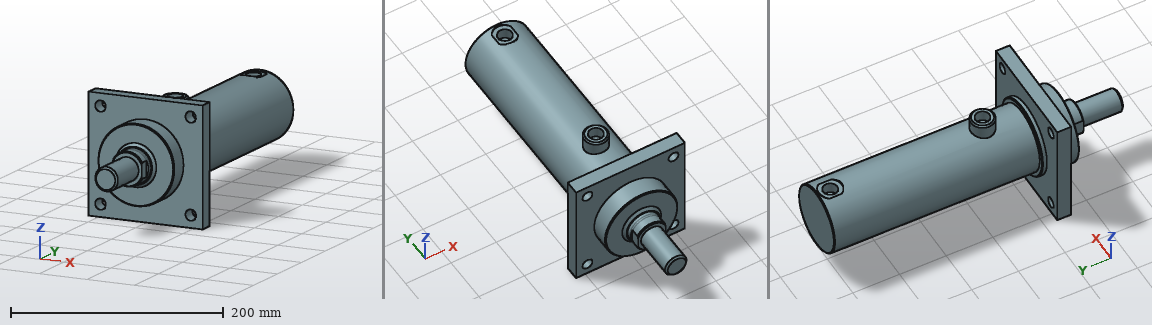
import cadquery as cq

TOTAL_LENGTH = 323.0

BARREL_DIAMETER = 70.0
BARREL_CHAMFER = 1.0
HEAD_DIAMETER = 80.0
HEAD_FRONT = 63.0
HEAD_BACK = 103.0
HEAD_CHAMFER = 1.0
FLANGE_SIDE = 120.0
FLANGE_FRONT = 83.0
FLANGE_THICKNESS = 15.0
BOLT_SPACING = 95.0
BOLT_HOLE_DIAMETER = 11.0

COLLAR_FRONT = 60.0
COLLAR_BASE_DIAMETER = 43.0
COLLAR_TIP_DIAMETER = 37.0

PORT_HOLE_DIAMETER = 15.0
PORT_DEPTH = 12.0
PORT_CONE_HEIGHT = 4.5
ROD_PORT_Y = 145.0
BOSS_DIAMETER = 25.0
BOSS_TOP = 49.0
BOSS_CHAMFER = 1.5
CAP_PORT_INSET = 15.0
CAP_PORT_Y = TOTAL_LENGTH - CAP_PORT_INSET
SPOTFACE_DIAMETER = 25.0
SPOTFACE_DEPTH = 1.5

ROD_DIAMETER = 35.0
ROD_SHOULDER = 45.0
TAPER_START = 55.0
TAPER_END = 57.0
NECK_DIAMETER = 34.2
NECK_CHAMFER = 1.0
WRENCH_WIDTH = 30.5
STUD_DIAMETER = 24.0
STUD_CHAMFER = 2.0


def cylinder_y(diameter, start, end):
    """Round bar along Y between two Y positions."""
    return cq.Workplane("XZ", origin=(0, start, 0)).circle(diameter / 2).extrude(start - end)


def frustum_y(start_diameter, start, end_diameter, end):
    """Cone frustum along Y between two Y positions."""
    return (
        cq.Workplane("XZ", origin=(0, start, 0))
        .circle(start_diameter / 2)
        .workplane(offset=start - end)
        .circle(end_diameter / 2)
        .loft()
    )


def port_hole(y, mouth_z):
    """Blind drilled hole going down from mouth_z, with a conical bottom."""
    radius = PORT_HOLE_DIAMETER / 2
    floor_z = mouth_z - PORT_DEPTH
    return (
        cq.Workplane("XZ", origin=(0, y, 0))
        .moveTo(0, mouth_z)
        .lineTo(radius, mouth_z)
        .lineTo(radius, floor_z)
        .lineTo(0, floor_z - PORT_CONE_HEIGHT)
        .close()
        .revolve(360, (0, 0, 0), (0, 1, 0))
    )


def make_flange():
    """Square plate with a bolt hole in each corner."""
    return (
        cq.Workplane("XZ", origin=(0, FLANGE_FRONT, 0))
        .rect(FLANGE_SIDE, FLANGE_SIDE)
        .rect(BOLT_SPACING, BOLT_SPACING, forConstruction=True)
        .vertices()
        .circle(BOLT_HOLE_DIAMETER / 2)
        .extrude(-FLANGE_THICKNESS)
    )


def make_collar():
    """Cone frustum that narrows from the head face towards the rod tip."""
    return frustum_y(COLLAR_TIP_DIAMETER, COLLAR_FRONT, COLLAR_BASE_DIAMETER, HEAD_FRONT)


def make_boss():
    """Raised round port boss, rising from the barrel axis."""
    return (
        cq.Workplane("XY", origin=(0, ROD_PORT_Y, 0))
        .circle(BOSS_DIAMETER / 2)
        .extrude(BOSS_TOP)
        .faces(">Z")
        .chamfer(BOSS_CHAMFER)
    )


def make_housing():
    """Barrel, head, flange, collar and ports, with a blind bore for the rod."""
    barrel = cylinder_y(BARREL_DIAMETER, HEAD_BACK, TOTAL_LENGTH).faces(">Y").chamfer(BARREL_CHAMFER)
    head = cylinder_y(HEAD_DIAMETER, HEAD_FRONT, HEAD_BACK).faces("<Y or >Y").chamfer(HEAD_CHAMFER)
    body = head.union(barrel).union(make_flange()).union(make_collar()).union(make_boss())

    spotface_z = BARREL_DIAMETER / 2 - SPOTFACE_DEPTH
    spotface = (
        cq.Workplane("XY", origin=(0, CAP_PORT_Y, spotface_z))
        .circle(SPOTFACE_DIAMETER / 2)
        .extrude(BARREL_DIAMETER / 2)
    )
    body = body.cut(spotface)
    body = body.cut(port_hole(CAP_PORT_Y, spotface_z))
    body = body.cut(port_hole(ROD_PORT_Y, BOSS_TOP))
    return body.cut(cylinder_y(ROD_DIAMETER, COLLAR_FRONT, HEAD_BACK))


def make_neck():
    """Slightly thinner stretch behind the shoulder, with a wrench flat on each X side."""
    neck = cylinder_y(NECK_DIAMETER, ROD_SHOULDER, TAPER_START).faces("<Y").chamfer(NECK_CHAMFER)
    between_flats = cq.Workplane("XY").box(WRENCH_WIDTH, 2 * TAPER_START, NECK_DIAMETER)
    return neck.intersect(between_flats)


def make_rod():
    """Shank in the housing, then a short taper, the neck and a chamfered stud at the tip."""
    shank = cylinder_y(ROD_DIAMETER, TAPER_END, HEAD_BACK)
    taper = frustum_y(NECK_DIAMETER, TAPER_START, ROD_DIAMETER, TAPER_END)
    stud = cylinder_y(STUD_DIAMETER, 0, ROD_SHOULDER).faces("<Y").chamfer(STUD_CHAMFER)
    return shank.union(taper).union(make_neck()).union(stud)


housing = make_housing()
rod = make_rod()

result = cq.Compound.makeCompound([housing.val(), rod.val()])